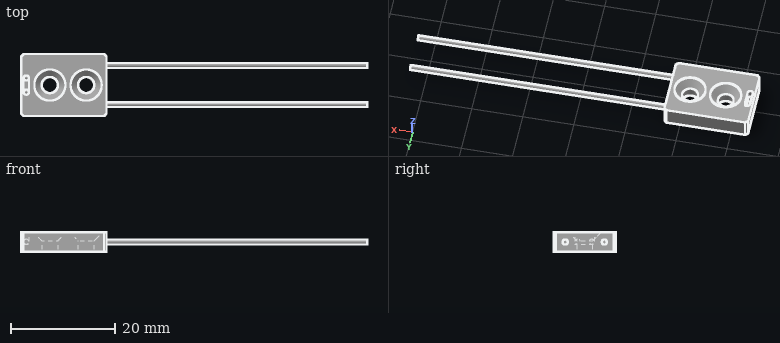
import cadquery as cq

total_length = 66.5
housing_length = 16.4
housing_width = 12.0
housing_height = 3.8
corner_chamfer = 0.5

hole_diameter = 3.05
sink_diameter = 6.0
sink_rim_depth = 0.2
first_hole_x = 5.5
hole_pitch = 7.0

lead_diameter = 1.0
lead_spacing = 7.5
lead_length = total_length - housing_length

ball_diameter = 1.0
slot_length = 3.7
slot_width = ball_diameter
slot_depth = 2.3
slot_x = 1.0
ball_spacing = slot_length - ball_diameter
slot_floor_z = housing_height - slot_depth


def make_sink_cutter(x):
    """Through hole with a 45 degree cone and a short straight rim, revolved about its axis."""
    hole_radius = hole_diameter / 2
    sink_radius = sink_diameter / 2
    rim_z = housing_height - sink_rim_depth
    cone_bottom_z = rim_z - (sink_radius - hole_radius)
    profile = (
        cq.Workplane("XZ")
        .polyline([
            (0, 0),
            (hole_radius, 0),
            (hole_radius, cone_bottom_z),
            (sink_radius, rim_z),
            (sink_radius, housing_height),
            (0, housing_height),
        ])
        .close()
    )
    return profile.revolve(360, (0, 0), (0, 1)).translate((x, 0, 0))


def make_housing():
    """Block with chamfered upright corners, two countersunk holes and the ball slot."""
    block = (
        cq.Workplane("XY")
        .box(housing_length, housing_width, housing_height, centered=(False, True, False))
        .edges("|Z")
        .chamfer(corner_chamfer)
    )
    for hole_index in range(2):
        block = block.cut(make_sink_cutter(first_hole_x + hole_index * hole_pitch))
    slot = (
        cq.Workplane("XY", origin=(slot_x, 0, slot_floor_z))
        .slot2D(slot_length, slot_width, angle=90)
        .extrude(slot_depth)
    )
    return block.cut(slot)


def make_lead(y):
    """Straight round lead starting on the end face of the housing."""
    return (
        cq.Workplane("YZ", origin=(housing_length, y, housing_height / 2))
        .circle(lead_diameter / 2)
        .extrude(lead_length)
    )


def make_ball(y):
    """Ball resting on the slot floor."""
    ball_radius = ball_diameter / 2
    return cq.Workplane("XY").sphere(ball_radius).translate((slot_x, y, slot_floor_z + ball_radius))


housing = make_housing()
leads = [make_lead(side * lead_spacing / 2) for side in (-1, 1)]
balls = [make_ball(side * ball_spacing / 2) for side in (-1, 1)]

result = cq.Compound.makeCompound([
    housing.val(),
    *[lead.val() for lead in leads],
    *[ball.val() for ball in balls],
])